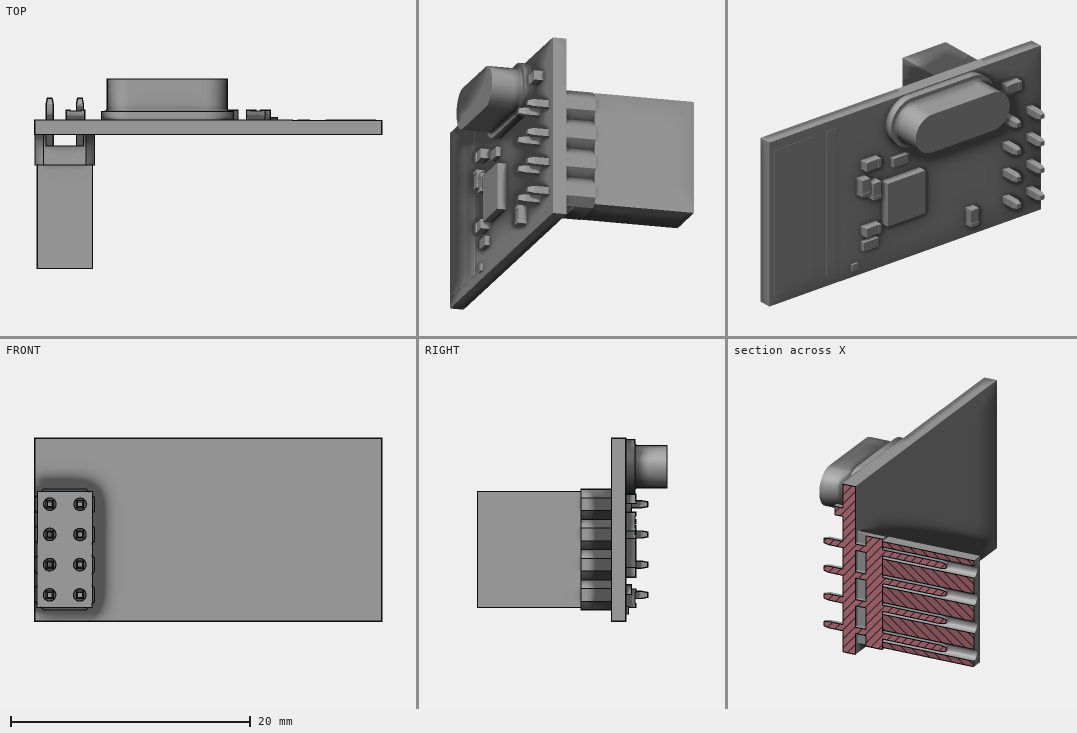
import cadquery as cq


BOARD_LENGTH = 28.95
BOARD_HEIGHT = 15.3
BOARD_THICKNESS = 1.2
COPPER_THICKNESS = 0.03
BACK_FACE = BOARD_THICKNESS + COPPER_THICKNESS
GROUND_LENGTH = 21.48
ANTENNA_MARGIN = 0.87
ANTENNA_STRIPS = [(21.95, 22.9), (24.3, 28.43)]

PITCH = 2.52
ROWS = 4
COLUMNS = 2
GRID_X = 2.52
GRID_Z = 6.0
PIN_WIDTH = 0.6
PIN_TIP_WIDTH = 0.4
PIN_TAPER = 0.52
PIN_BACK_LENGTH = 1.82
PIN_FRONT_LENGTH = 6.0

HEADER_WIDTH = 4.98
HEADER_DEPTH = 2.55
CELL_CHAMFER = 0.72
CHANNEL_WIDTH = PITCH + PIN_WIDTH
CHANNEL_DEPTH = 0.95

SOCKET_WIDTH = 4.6
SOCKET_HEIGHT = 9.67
SOCKET_DEPTH = 8.63
SOCKET_TILT_DEGREES = 0.2
HOLE_DIAMETER = 1.05

CRYSTAL_X = 11.05
CRYSTAL_Z = 12.9
CRYSTAL_STRAIGHT = 6.48
CAN_RADIUS = 1.77
CAN_HEIGHT = 3.42
FLANGE_RADIUS = 2.25
FLANGE_THICKNESS = 0.72
CAN_FILLET = 0.23

CHIP_X = 12.97
CHIP_Z = 4.02
CHIP_SIZE = 4.0
CHIP_HEIGHT = 0.8

CAPACITOR_LENGTH = 1.55
CAPACITOR_WIDTH = 0.8
CAPACITOR_HEIGHT = 0.75
TERMINAL_LENGTH = 0.32
TERMINAL_STEP = 0.05
FLAT_CAPACITORS = [(2.63, 12.3), (17.65, 9.8), (17.65, 3.68)]
UPRIGHT_CAPACITORS = [(17.65, 6.92), (18.85, 7.55), (7.25, 1.15)]

RESISTOR_LENGTH = 1.55
RESISTOR_WIDTH = 0.8
RESISTOR_HEIGHT = 0.43
RESISTORS = [(14.48, 9.1), (17.65, 2.25)]
THIN_PART_X = 19.63
THIN_PART_Z = 0.6
THIN_PART_SIZE = 0.65
THIN_PART_HEIGHT = 0.2


def block(x, y, z, length, depth, height):
    """Box with its lower corner at (x, y, z), sized along X, Y and Z."""
    return cq.Workplane("XY").box(length, depth, height, centered=False).translate((x, y, z))


def back_block(x, z, length, height, rise):
    """Box standing on the back of the board, rising toward +Y."""
    return block(x, BACK_FACE, z, length, rise, height)


def plane_at(y):
    """Sketch plane facing -Y, with part X and Z as its local axes."""
    return cq.Workplane("XZ", origin=(0, y, 0))


def row_offset(row):
    return (row - (ROWS - 1) / 2) * PITCH


def column_offset(column):
    return (column - (COLUMNS - 1) / 2) * PITCH


PIN_POINTS = [
    (GRID_X + column_offset(column), GRID_Z + row_offset(row))
    for column in range(COLUMNS)
    for row in range(ROWS)
]


def make_board():
    board = block(0, 0, 0, BOARD_LENGTH, BOARD_THICKNESS, BOARD_HEIGHT)
    ground = block(0, BOARD_THICKNESS, 0, GROUND_LENGTH, COPPER_THICKNESS, BOARD_HEIGHT)
    board = board.union(ground)
    strip_height = BOARD_HEIGHT - 2 * ANTENNA_MARGIN
    for start, end in ANTENNA_STRIPS:
        strip = block(start, BOARD_THICKNESS, ANTENNA_MARGIN, end - start, COPPER_THICKNESS, strip_height)
        board = board.union(strip)
    return board


def make_header():
    cell = plane_at(0).center(GRID_X, GRID_Z).rect(HEADER_WIDTH, PITCH).extrude(HEADER_DEPTH)
    cell = cell.edges("|Y").chamfer(CELL_CHAMFER)
    header = cq.Workplane("XY")
    for row in range(ROWS):
        header = header.union(cell.translate((0, 0, row_offset(row))))
    channel = plane_at(0).center(GRID_X, GRID_Z).rect(CHANNEL_WIDTH, ROWS * PITCH).extrude(CHANNEL_DEPTH)
    return header.cut(channel)


def make_pin(x, z):
    """Square pin through header and board, tapered at both ends."""
    back = BACK_FACE + PIN_BACK_LENGTH
    front = -HEADER_DEPTH - PIN_FRONT_LENGTH
    shank_back = back - PIN_TAPER
    shank_front = front + PIN_TAPER
    pin = plane_at(shank_back).center(x, z).rect(PIN_WIDTH, PIN_WIDTH).extrude(shank_back - shank_front)
    for base, toward_front in ((shank_back, -PIN_TAPER), (shank_front, PIN_TAPER)):
        base_square = plane_at(base).center(x, z).rect(PIN_WIDTH, PIN_WIDTH)
        tip_square = base_square.workplane(offset=toward_front).rect(PIN_TIP_WIDTH, PIN_TIP_WIDTH)
        pin = pin.union(tip_square.loft())
    return pin


def crystal_slab(base, radius, rise):
    """Slab with two round ends, rising from y = base."""
    sketch = plane_at(base).center(CRYSTAL_X, CRYSTAL_Z)
    return sketch.slot2D(CRYSTAL_STRAIGHT + 2 * radius, 2 * radius).extrude(-rise)


def make_crystal():
    flange_top = BACK_FACE + FLANGE_THICKNESS
    flange = crystal_slab(BACK_FACE, FLANGE_RADIUS, FLANGE_THICKNESS)
    can = crystal_slab(BACK_FACE, CAN_RADIUS, CAN_HEIGHT)
    half_length = CRYSTAL_STRAIGHT / 2 + CAN_RADIUS + CAN_FILLET
    half_height = CAN_RADIUS + CAN_FILLET
    can_foot = cq.selectors.BoxSelector(
        (CRYSTAL_X - half_length, flange_top - CAN_FILLET, CRYSTAL_Z - half_height),
        (CRYSTAL_X + half_length, flange_top + CAN_FILLET, CRYSTAL_Z + half_height),
        boundingbox=True,
    )
    return flange.union(can).edges(can_foot).fillet(CAN_FILLET)


def make_capacitor(x, z, length, height):
    """Capacitor with a terminal at each end of its longer side."""
    body = back_block(x, z, length, height, CAPACITOR_HEIGHT)
    terminal_rise = CAPACITOR_HEIGHT + TERMINAL_STEP
    if length > height:
        near = back_block(x, z, TERMINAL_LENGTH, height, terminal_rise)
        far = near.translate((length - TERMINAL_LENGTH, 0, 0))
    else:
        near = back_block(x, z, length, TERMINAL_LENGTH, terminal_rise)
        far = near.translate((0, 0, height - TERMINAL_LENGTH))
    return body.union(near).union(far)


def make_small_parts():
    parts = [
        back_block(CHIP_X, CHIP_Z, CHIP_SIZE, CHIP_SIZE, CHIP_HEIGHT),
        back_block(THIN_PART_X, THIN_PART_Z, THIN_PART_SIZE, THIN_PART_SIZE, THIN_PART_HEIGHT),
    ]
    for x, z in FLAT_CAPACITORS:
        parts.append(make_capacitor(x, z, CAPACITOR_LENGTH, CAPACITOR_WIDTH))
    for x, z in UPRIGHT_CAPACITORS:
        parts.append(make_capacitor(x, z, CAPACITOR_WIDTH, CAPACITOR_LENGTH))
    for x, z in RESISTORS:
        parts.append(back_block(x, z, RESISTOR_LENGTH, RESISTOR_WIDTH, RESISTOR_HEIGHT))
    return parts


def make_board_assembly():
    assembly = make_board().union(make_header()).union(make_crystal())
    for part in make_small_parts():
        assembly = assembly.union(part)
    for x, z in PIN_POINTS:
        assembly = assembly.union(make_pin(x, z))
    return assembly


def make_socket():
    face = plane_at(-HEADER_DEPTH)
    body = face.center(GRID_X, GRID_Z).rect(SOCKET_WIDTH, SOCKET_HEIGHT).extrude(SOCKET_DEPTH)
    holes = face.pushPoints(PIN_POINTS).circle(HOLE_DIAMETER / 2).extrude(SOCKET_DEPTH)
    return body.cut(holes).rotate((GRID_X, 0, GRID_Z), (GRID_X, 1, GRID_Z), SOCKET_TILT_DEGREES)


board_assembly = make_board_assembly()
socket = make_socket()

result = cq.Compound.makeCompound([board_assembly.val(), socket.val()])